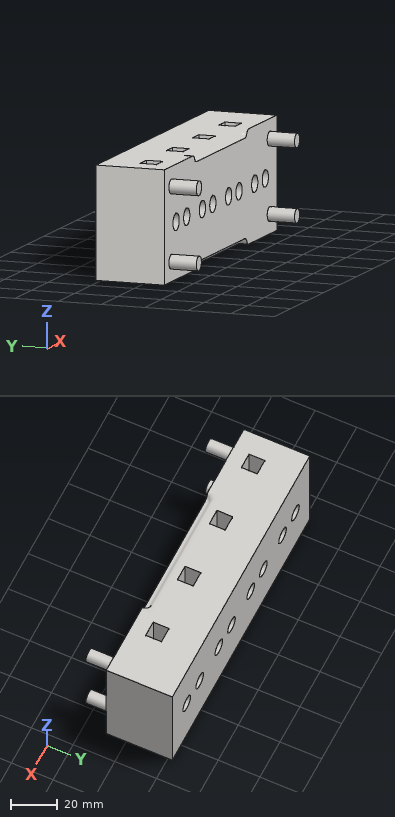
import cadquery as cq
import math

length = 137.4
depth = 31.7
height = 50.8

pin_diameter = 6.5
pin_length = 12.6
pin_spacing_x = 119.5
pin_spacing_z = 33.1

bore_diameter = 7.5
first_bore_positions = (-54.3, -22.3, 9.6, 41.4)
second_bore_positions = tuple(-x for x in first_bore_positions)
window_size = bore_diameter
window_center_y = 11.4

notch_length = 68.3
notch_reach = 5.1
notch_drop = 3.3
notch_slope_run = 4.8
front_clearance = 1.4
sharp_corner_radius = 0.03
slope_steps = 4


def make_pins():
    return (
        cq.Workplane("XZ")
        .rect(pin_spacing_x, pin_spacing_z, forConstruction=True)
        .vertices()
        .circle(pin_diameter / 2)
        .extrude(pin_length)
    )


def make_bores():
    centers = [(x, 0) for x in first_bore_positions + second_bore_positions]
    return cq.Workplane("XZ").pushPoints(centers).circle(bore_diameter / 2).extrude(-depth)


def make_windows():
    """Square shafts from the top face to the axis of the first bores."""
    centers = [(x, window_center_y) for x in first_bore_positions]
    return cq.Workplane("XY").pushPoints(centers).rect(window_size, window_size).extrude(height / 2)


def notch_contour(spread, corner_radius, z):
    """Level outline of the notch, spread outward from its floor and open past the front face."""
    half_length = notch_length / 2 - notch_slope_run + spread
    back = notch_reach - notch_slope_run + spread
    return (
        cq.Workplane("XY")
        .box(2 * half_length, back + front_clearance, 1.4, centered=(True, False, False))
        .translate((0, -front_clearance, z))
        .edges("|Z and >Y")
        .fillet(corner_radius)
        .faces("<Z")
        .wires()
        .val()
    )


def make_top_notch():
    """S-shaped slopes: a concave arc off the floor, then an equal convex arc to the rim.

    The plan corners are sharp at the floor and rim and roundest midway down.
    """
    half_run = notch_slope_run / 2
    half_drop = notch_drop / 2
    arc_radius = (half_run**2 + half_drop**2) / (2 * half_drop)
    arc_angle = 2 * math.atan2(half_drop, half_run)
    floor = height / 2 - notch_drop
    lower = []
    upper = []
    for step in range(slope_steps + 1):
        angle = arc_angle * step / slope_steps
        run = arc_radius * math.sin(angle)
        rise = arc_radius * (1 - math.cos(angle))
        corner_radius = max(run, sharp_corner_radius)
        lower.append(notch_contour(run, corner_radius, floor + rise))
        upper.append(notch_contour(notch_slope_run - run, corner_radius, height / 2 - rise))
    lower_half = cq.Workplane(cq.Solid.makeLoft(lower))
    upper_half = cq.Workplane(cq.Solid.makeLoft(upper))
    return lower_half, upper_half


block = cq.Workplane("XY").box(length, depth, height).translate((0, depth / 2, 0))
result = block.union(make_pins()).cut(make_bores()).cut(make_windows())
for notch_half in make_top_notch():
    result = result.cut(notch_half).cut(notch_half.mirror("XY"))